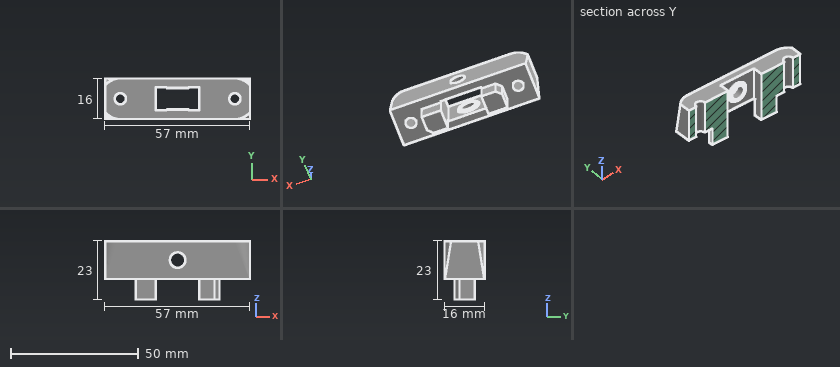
import cadquery as cq
import math

BODY_LENGTH = 57.0
BODY_WIDTH = 16.0
BODY_HEIGHT = 15.0
BOTTOM_CORNER_RADIUS = 0.3

SCREW_HOLE_DIAMETER = 4.3
SCREW_HOLE_SPACING = 45.0

WINDOW_LENGTH = 17.0
WINDOW_WIDTH = 9.0

AXLE_DIAMETER = 6.0
AXLE_HEIGHT = BODY_HEIGHT / 2
BOSS_BASE_DIAMETER = 9.0
BOSS_TIP_DIAMETER = 8.0
BOSS_HEIGHT = 0.5

PEG_SIZE = 8.0
PEG_HEIGHT = 8.0
PEG_SPACING = 25.0
PEG_CHAMFER = 2.0


def body_outline(z, setback_x, setback_y, bulge_x, bulge_y):
    """Closed outline of the body at height z, with an arc across each corner.

    All four distances are measured from the sharp corner: the setbacks to the arc's
    ends on the long and short sides, the bulges to the middle of the arc.
    """
    half_length = BODY_LENGTH / 2
    half_width = BODY_WIDTH / 2

    corner_arcs = []
    for side_x, side_y in [(1, -1), (1, 1), (-1, 1), (-1, -1)]:
        on_long_side = (side_x * (half_length - setback_x), side_y * half_width)
        middle = (side_x * (half_length - bulge_x), side_y * (half_width - bulge_y))
        on_short_side = (side_x * half_length, side_y * (half_width - setback_y))
        if side_x * side_y < 0:
            corner_arcs.append((on_long_side, middle, on_short_side))
        else:
            corner_arcs.append((on_short_side, middle, on_long_side))

    first_start, first_middle, first_end = corner_arcs[0]
    outline = cq.Workplane("XY", origin=(0, 0, z)).moveTo(*first_start)
    outline = outline.threePointArc(first_middle, first_end)
    for start, middle, end in corner_arcs[1:]:
        outline = outline.lineTo(*start).threePointArc(middle, end)
    return outline.close().val()


def make_body():
    """Block whose corners flare from almost sharp at the bottom to round at the top.

    The top arcs are centred on the screw holes and tangent to the long sides.
    """
    radius = BOTTOM_CORNER_RADIUS
    bottom_bulge = radius - radius * math.cos(math.pi / 4)
    bottom = body_outline(0, radius, radius, bottom_bulge, bottom_bulge)

    arc_radius = BODY_WIDTH / 2
    setback_x = (BODY_LENGTH - SCREW_HOLE_SPACING) / 2
    setback_y = arc_radius - math.sqrt(arc_radius**2 - setback_x**2)
    half_sweep = math.asin(setback_x / arc_radius) / 2
    bulge_x = setback_x - arc_radius * math.sin(half_sweep)
    bulge_y = arc_radius - arc_radius * math.cos(half_sweep)
    top = body_outline(BODY_HEIGHT, setback_x, setback_y, bulge_x, bulge_y)
    return cq.Workplane(cq.Solid.makeLoft([bottom, top], True))


def make_window():
    return cq.Workplane("XY").rect(WINDOW_LENGTH, WINDOW_WIDTH).extrude(BODY_HEIGHT)


def make_screw_holes():
    centers = [(-SCREW_HOLE_SPACING / 2, 0), (SCREW_HOLE_SPACING / 2, 0)]
    return cq.Workplane("XY").pushPoints(centers).circle(SCREW_HOLE_DIAMETER / 2).extrude(BODY_HEIGHT)


def make_boss(side):
    """Tapered boss on the window wall at side = -1 or +1 along Y."""
    wall_point = cq.Vector(0, side * WINDOW_WIDTH / 2, AXLE_HEIGHT)
    inward = cq.Vector(0, -side, 0)
    boss = cq.Solid.makeCone(
        BOSS_BASE_DIAMETER / 2, BOSS_TIP_DIAMETER / 2, BOSS_HEIGHT, wall_point, inward
    )
    return cq.Workplane(boss)


def make_axle_bore():
    plane = cq.Workplane("XZ", origin=(0, 0, AXLE_HEIGHT))
    return plane.circle(AXLE_DIAMETER / 2).extrude(BODY_WIDTH / 2, both=True)


def make_peg(side):
    """Peg at side = -1 or +1 along X, chamfered on its outer edge at opposite Y."""
    center_x = side * PEG_SPACING / 2
    peg = cq.Workplane("XY").rect(PEG_SIZE, PEG_SIZE).extrude(-PEG_HEIGHT)
    outer_edge = "|Z and >X and <Y" if side > 0 else "|Z and <X and >Y"
    return peg.edges(outer_edge).chamfer(PEG_CHAMFER).translate((center_x, 0, 0))


result = make_body().cut(make_window()).cut(make_screw_holes())
for side in (-1, 1):
    result = result.union(make_boss(side))
    result = result.union(make_peg(side))
result = result.cut(make_axle_bore())